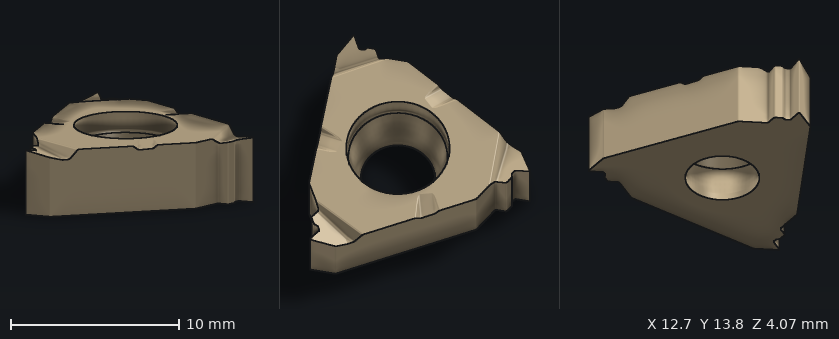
import cadquery as cq
import math

thickness = 4.07
flank_distance = 4.76
flank_blend_radius = 0.22
corner_count = 3
corner_angle = 360 / corner_count
oversize = 20.76
touching = 0.0001

flank_angle = 180
lead_angle = 150
trail_angle = 30
level_angle = 90
lead_distance = 6.92
trail_offset = 0.05
tip_radius = 0.05
valley_height = 6.17
valley_radius = 0.11
step_start_x = -3.2
step_radius = 0.08
land_height = 6.34
land_end_x = -2.53
land_radius = 0.18
shoulder_height = 5.76
shoulder_radius = 0.17

rake_zero_y = 7.31
rake_slope = 0.246
wall_direction = 31.5
wall_distance = 5.81
wall_angle = 53.0
groove_depth = 0.61
groove_radius = 0.29
brow_radius = 0.17

notch_direction = -14.0
notch_end_x = -3.43
notch_end_y = -0.55
notch_floor_width = 0.89
notch_length = 2.21
notch_height = 0.55
notch_ramp = 9.6
notch_wall_angle = 40.0
notch_floor_radius = 0.28
notch_rim_radius = 0.17

bore_diameter = 4.4
mouth_diameter = 6.15
mouth_depth = 1.02
mouth_foot_radius = 0.28
mouth_foot_inset = 0.12
seat_bottom_depth = 3.61


def lines_meeting(angle_a, distance_a, angle_b, distance_b):
    """Crossing of two lines given by normal angle and distance from the centre."""
    ax, ay = math.cos(math.radians(angle_a)), math.sin(math.radians(angle_a))
    bx, by = math.cos(math.radians(angle_b)), math.sin(math.radians(angle_b))
    det = ax * by - ay * bx
    return (distance_a * by - distance_b * ay) / det, (ax * distance_b - bx * distance_a) / det


def turned(point, angle):
    """The point turned about the centre by an angle in degrees."""
    a = math.radians(angle)
    x, y = point
    return x * math.cos(a) - y * math.sin(a), x * math.sin(a) + y * math.cos(a)


def around(shape):
    """The shape repeated at all three corners."""
    copies = shape
    for i in range(1, corner_count):
        copies = copies.union(shape.rotate((0, 0, 0), (0, 0, 1), i * corner_angle))
    return copies


def corner_points():
    """Outline points of one corner with the radius that rounds each of them."""
    step_end_x = step_start_x + land_height - valley_height
    next_flank_angle = flank_angle - corner_angle
    trail = math.radians(trail_angle)
    drop_distance = land_end_x * math.cos(trail) + land_height * math.sin(trail)
    return [
        (lines_meeting(flank_angle, flank_distance, lead_angle, lead_distance), flank_blend_radius),
        (lines_meeting(lead_angle, lead_distance, trail_angle, trail_offset), tip_radius),
        (lines_meeting(trail_angle, trail_offset, level_angle, valley_height), valley_radius),
        ((step_start_x, valley_height), step_radius),
        ((step_end_x, land_height), step_radius),
        ((land_end_x, land_height), land_radius),
        (lines_meeting(trail_angle, drop_distance, level_angle, shoulder_height), shoulder_radius),
        (lines_meeting(level_angle, shoulder_height, next_flank_angle, flank_distance), flank_blend_radius),
    ]


def make_plate():
    """Full-thickness plate with its upright corners rounded; the top face is at Z = 0."""
    corners = []
    for i in range(corner_count):
        corners += [(turned(point, -i * corner_angle), radius) for point, radius in corner_points()]
    plate = cq.Workplane("XY").polyline([point for point, _ in corners]).close().extrude(-thickness)
    for (x, y), radius in corners:
        upright = cq.selectors.NearestToPointSelector((x, y, -thickness / 2))
        plate = plate.edges(upright).fillet(radius)
    return plate


def space_above(origin, along, normal):
    """A large block resting on the plane through origin."""
    plane = cq.Plane(origin=origin, xDir=along, normal=normal)
    return cq.Workplane(plane).rect(oversize, oversize).extrude(oversize)


def make_chip_groove():
    """Space above the rake face, the groove wall and the flat floor between them."""
    a = math.radians(wall_direction)
    out_x, out_y = -math.sin(a), math.cos(a)
    wall_slope = math.tan(math.radians(wall_angle))
    wall_normal = (wall_slope * out_x, wall_slope * out_y, 1)
    above_rake = space_above((0, rake_zero_y, 0), (1, 0, 0), (0, -rake_slope, 1))
    above_floor = space_above((0, 0, -groove_depth), (1, 0, 0), (0, 0, 1))
    above_wall = space_above(
        (wall_distance * out_x, wall_distance * out_y, 0),
        (math.cos(a), math.sin(a), 0),
        wall_normal,
    )
    groove = above_rake.intersect(above_floor).intersect(above_wall)

    corner_y = rake_zero_y - groove_depth / rake_slope
    corner_x = (wall_distance + groove_depth / wall_slope - corner_y * out_y) / out_x
    corner = cq.Vertex.makeVertex(corner_x, corner_y, -groove_depth)
    wall_faces = groove.faces(cq.selectors.ParallelDirSelector(cq.Vector(*wall_normal)))
    foot = wall_faces.edges().filter(lambda edge: edge.distance(corner) < touching)
    return foot.fillet(groove_radius)


def make_notch():
    """Channel with sloped walls whose floor falls toward the long side face."""
    run = notch_height / math.tan(math.radians(notch_wall_angle))
    half = notch_floor_width / 2
    section = [(-half, 0), (half, 0), (half + run, notch_height), (-half - run, notch_height)]
    plane = cq.Plane(origin=(0, 0, 0), xDir=(0, -1, 0), normal=(-1, 0, 0))
    notch = cq.Workplane(plane).polyline(section).close().extrude(notch_length)
    notch = notch.edges("<Z and |X").fillet(notch_floor_radius)
    notch = notch.rotate((0, 0, 0), (0, 1, 0), -notch_ramp)
    notch = notch.rotate((0, 0, 0), (0, 0, 1), notch_direction)
    return notch.translate((notch_end_x, notch_end_y, 0))


def make_bore():
    """Straight mouth, rounded foot, flared screw seat and straight bore, as one solid to remove."""
    mouth_radius = mouth_diameter / 2
    bore_radius = bore_diameter / 2
    foot_turn = math.acos(1 - mouth_foot_inset / mouth_foot_radius)
    seat_top = (mouth_radius - mouth_foot_inset, -mouth_depth - mouth_foot_radius * math.sin(foot_turn))
    seat_width = seat_top[0] - bore_radius
    seat_height = seat_bottom_depth + seat_top[1]
    seat_radius = (seat_width**2 + seat_height**2) / (2 * seat_width)
    return (
        cq.Workplane("XZ")
        .lineTo(mouth_radius, 0)
        .lineTo(mouth_radius, -mouth_depth)
        .radiusArc(seat_top, mouth_foot_radius)
        .radiusArc((bore_radius, -seat_bottom_depth), -seat_radius)
        .lineTo(bore_radius, -thickness)
        .lineTo(0, -thickness)
        .close()
        .revolve(360, (0, 0, 0), (0, 1, 0))
    )


def edges_through(shape, point):
    """Edges of the shape that touch any of the three corner copies of a point on the top face."""
    marks = [cq.Vertex.makeVertex(*turned(point, i * corner_angle), 0) for i in range(corner_count)]
    return shape.edges().filter(lambda edge: any(edge.distance(mark) < touching for mark in marks))


def make_stock():
    """Flat stock with the chip grooves and notches cut and their top edges rounded."""
    stock = cq.Workplane("XY").circle(oversize / 2).extrude(-thickness)
    stock = stock.cut(around(make_chip_groove()))
    a = math.radians(wall_direction)
    brow_point = (-wall_distance * math.sin(a), wall_distance * math.cos(a))
    stock = edges_through(stock, brow_point).fillet(brow_radius)
    stock = stock.cut(around(make_notch()))
    return edges_through(stock, (notch_end_x, notch_end_y)).fillet(notch_rim_radius)


result = make_plate().intersect(make_stock()).cut(make_bore())